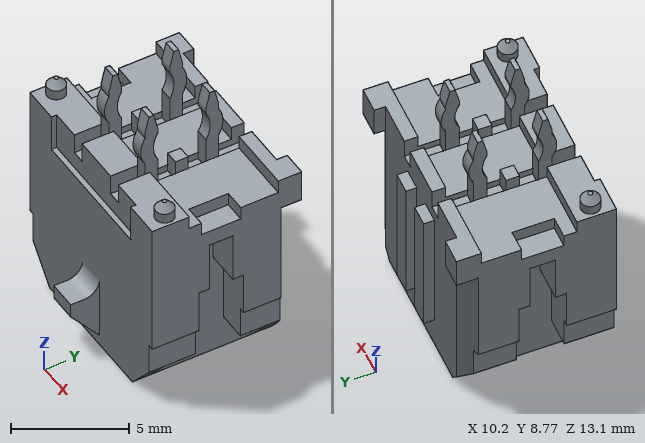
import cadquery as cq


body_width = 10.15
rear_y = 6.83
body_top = 9.91
waist_z = 3.17
waist_inset = 0.26
base_half_width = 3.43
bevel_height = 1.64
half_width = body_width / 2
waist_half_width = half_width - waist_inset

tray_floor = 9.25
front_wall = 1.82
rear_wall_y = 6.2

flange_y = 7.36
flange_width = 1.2
flange_bottom = 8.31
corner_cut = 0.48
rib_y = 7.33
rib_inner = 0.47
rib_width = 0.98
rib_bottom = 1.61

slot_mid_y = 3.39
wide_slot = 2.2
wide_slot_top = 5.31
narrow_slot = 1.15
narrow_slot_top = 7.81
notch_front = 0.75
notch_rear = 5.84

pocket_length = 1.94
pocket_depth_x = 1.03
pocket_floor = 8.61

recess_half_width = 3.29
recess_depth = 0.26
recess_bottom = 8.05

pitch = 3.0
contact_width = 0.64
contact_thickness = 0.63
groove_floor = 8.9
bend_bottom = 10.49
bend_top = 11.98
bend_offset = 0.21
shoulder_z = 12.25
tip_z = 13.09
tip_thickness = 0.24

peg_x = 4.49
peg_y = 0.95
peg_radius = 0.45
peg_shoulder = 10.41
peg_top = 10.77
peg_tip_radius = 0.1

latch_width = 1.4
latch_reach = 1.41
latch_top = 3.61
latch_lip = 2.93
latch_nose = 2.24
latch_bottom = 0.54
latch_arc_end = 0.86
latch_arc_mid = (-0.26, 3.12)


def box(x_range, y_range, z_range):
    """Box spanning the given (low, high) ranges."""
    lows, highs = zip(x_range, y_range, z_range)
    sizes = [high - low for low, high in zip(lows, highs)]
    return cq.Workplane("XY").box(*sizes, centered=False).translate(lows)


def both_sides(solid):
    """The solid joined with its mirror image across x = 0."""
    return solid.union(solid.mirror("YZ"))


def centred(middle, length):
    """Range of the given length about a middle value."""
    return (middle - length / 2, middle + length / 2)


def extrude_across(profile, middle_x, width):
    """Extrude a closed YZ profile symmetrically about x = middle_x."""
    return profile.extrude(width / 2, both=True).translate((middle_x, 0, 0))


def make_housing():
    right_edge = [
        (base_half_width, 0),
        (waist_half_width, bevel_height),
        (waist_half_width, waist_z),
        (half_width, waist_z),
        (half_width, body_top),
    ]
    left_edge = [(-x, z) for x, z in reversed(right_edge)]
    outline = cq.Workplane("XZ").polyline(right_edge + left_edge).close()
    return outline.extrude(-rear_y)


def make_corner_cut():
    """Wedge that slants each rear vertical corner below the flange."""
    inner_x = half_width - flange_width
    wedge = (
        cq.Workplane("XY")
        .moveTo(inner_x, rear_y)
        .lineTo(half_width, rear_y - corner_cut)
        .lineTo(half_width, rear_y)
        .close()
        .extrude(flange_bottom)
    )
    return both_sides(wedge)


def make_rear_flanges_and_ribs():
    flange = box((half_width - flange_width, half_width), (rear_wall_y, flange_y), (flange_bottom, body_top))
    rib = box((rib_inner, rib_inner + rib_width), (rear_wall_y, rib_y), (rib_bottom, flange_bottom))
    return both_sides(flange).union(both_sides(rib))


def make_side_cuts():
    """Stepped slot, and the notch it opens into, in each side."""
    depth = (base_half_width, half_width)
    wide = box(depth, centred(slot_mid_y, wide_slot), (0, wide_slot_top))
    narrow = box(depth, centred(slot_mid_y, narrow_slot), (0, narrow_slot_top))
    notch = box(depth, (notch_front, notch_rear), (0, bevel_height))
    return both_sides(wide.union(narrow).union(notch))


def make_top_cuts():
    """Tray, side pockets, contact grooves and front recess."""
    tray = box((-half_width, half_width), (front_wall, rear_wall_y), (tray_floor, body_top))
    pocket = box(
        (half_width - pocket_depth_x, half_width),
        centred(slot_mid_y, pocket_length),
        (pocket_floor, body_top),
    )
    groove = box(centred(pitch / 2, contact_width), (0, rear_y), (groove_floor, body_top))
    recess = box((-recess_half_width, recess_half_width), (0, recess_depth), (recess_bottom, body_top))
    return tray.union(both_sides(pocket)).union(both_sides(groove)).union(recess)


def make_contact(middle_y, bend_side):
    """Contact bowed in the +Y (bend_side = 1) or -Y (bend_side = -1) direction."""
    half = contact_thickness / 2
    bow = bend_side * bend_offset
    bend_mid = (bend_bottom + bend_top) / 2
    profile = (
        cq.Workplane("YZ")
        .moveTo(-half, groove_floor)
        .lineTo(-half, bend_bottom)
        .threePointArc((bow - half, bend_mid), (-half, bend_top))
        .lineTo(-half, shoulder_z)
        .lineTo(-tip_thickness / 2, tip_z)
        .lineTo(tip_thickness / 2, tip_z)
        .lineTo(half, shoulder_z)
        .lineTo(half, bend_top)
        .threePointArc((bow + half, bend_mid), (half, bend_bottom))
        .lineTo(half, groove_floor)
        .close()
    )
    return extrude_across(profile, pitch / 2, contact_width).translate((0, middle_y, 0))


def make_contacts_and_posts():
    front = make_contact(slot_mid_y - pitch / 2, -1)
    rear = make_contact(slot_mid_y + pitch / 2, 1)
    post = box(
        centred(pitch / 2, contact_width),
        centred(slot_mid_y, contact_thickness),
        (groove_floor, body_top),
    )
    return both_sides(front.union(rear).union(post))


def make_pegs():
    peg = (
        cq.Workplane("XZ")
        .moveTo(0, body_top)
        .lineTo(peg_radius, body_top)
        .lineTo(peg_radius, peg_shoulder)
        .lineTo(peg_tip_radius, peg_top)
        .lineTo(0, peg_top)
        .close()
        .revolve(360, (0, 0), (0, 1))
        .translate((peg_x, peg_y, 0))
    )
    return both_sides(peg)


def make_latch():
    profile = (
        cq.Workplane("YZ")
        .moveTo(0, latch_bottom)
        .lineTo(0, latch_top)
        .threePointArc(latch_arc_mid, (-latch_arc_end, latch_lip))
        .lineTo(-latch_reach, latch_lip)
        .lineTo(-latch_reach, latch_nose)
        .close()
    )
    return extrude_across(profile, 0, latch_width)


result = (
    make_housing()
    .cut(make_corner_cut())
    .union(make_rear_flanges_and_ribs())
    .cut(make_side_cuts())
    .cut(make_top_cuts())
    .union(make_contacts_and_posts())
    .union(make_pegs())
    .union(make_latch())
)